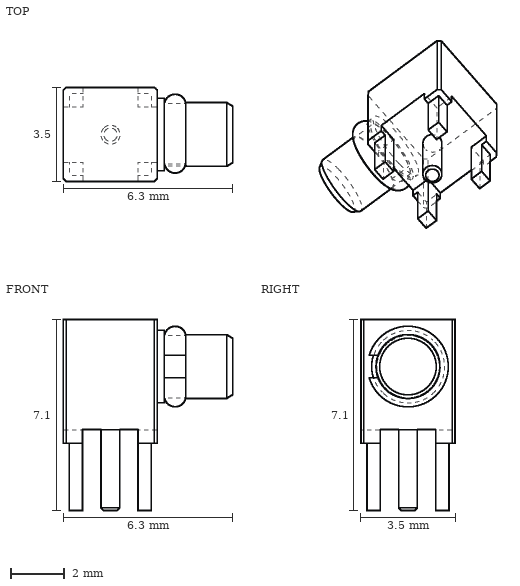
import cadquery as cq
import math

total_height = 7.1
block_width = 3.5
block_bottom = 2.5
block_corner_chamfer = 0.115

relief_width = 2.05
relief_top = 3.0

leg_size = 0.5

pin_diameter = 0.7
pin_tip_diameter = 0.5
pin_tip_length = 0.1

axis_height = 5.345
barrel_end = 6.3 - block_width / 2
collar_diameter = 2.7
collar_length = 0.255
sleeve_diameter = 2.38
groove_diameter = 2.32
tip_diameter = 2.1
tip_length = 0.235

ring_width = 0.8
ring_outer_diameter = 2.995
ring_gap = 0.84

block_face = block_width / 2
ring_start = block_face + collar_length
ring_end = ring_start + ring_width


def make_block():
    block_height = total_height - block_bottom
    block = (
        cq.Workplane("XY", origin=(0, 0, block_bottom))
        .rect(block_width, block_width)
        .extrude(block_height)
        .edges("|Z")
        .chamfer(block_corner_chamfer)
    )
    relief_depth = relief_top - block_bottom
    for size_x, size_y in ((block_width, relief_width), (relief_width, block_width)):
        relief = (
            cq.Workplane("XY", origin=(0, 0, block_bottom))
            .rect(size_x, size_y)
            .extrude(relief_depth)
        )
        block = block.cut(relief)
    return block


def make_legs():
    leg_spacing = relief_width + leg_size
    return (
        cq.Workplane("XY")
        .rect(leg_spacing, leg_spacing, forConstruction=True)
        .vertices()
        .rect(leg_size, leg_size)
        .extrude(block_bottom)
    )


def make_centre_pin():
    pin_radius = pin_diameter / 2
    return (
        cq.Workplane("XZ")
        .moveTo(0, 0)
        .lineTo(pin_tip_diameter / 2, 0)
        .lineTo(pin_radius, pin_tip_length)
        .lineTo(pin_radius, relief_top)
        .lineTo(0, relief_top)
        .close()
        .revolve(360, (0, 0), (0, 1))
    )


def make_barrel():
    """Solid of revolution: collar, ring groove, sleeve and tapered tip."""
    return (
        cq.Workplane("XZ", origin=(0, 0, axis_height))
        .moveTo(block_face, 0)
        .lineTo(block_face, collar_diameter / 2)
        .lineTo(ring_start, collar_diameter / 2)
        .lineTo(ring_start, groove_diameter / 2)
        .lineTo(ring_end, groove_diameter / 2)
        .lineTo(ring_end, sleeve_diameter / 2)
        .lineTo(barrel_end - tip_length, sleeve_diameter / 2)
        .lineTo(barrel_end, tip_diameter / 2)
        .lineTo(barrel_end, 0)
        .close()
        .revolve(360, (0, 0), (1, 0))
    )


def make_housing():
    return make_block().union(make_legs()).union(make_centre_pin()).union(make_barrel())


def make_snap_ring():
    """Ring with a rounded crown, split by a gap on its -Y side."""
    inner_radius = groove_diameter / 2
    outer_radius = ring_outer_diameter / 2
    crown_radius = ring_width / 2
    crown_centre = outer_radius - crown_radius
    half_base = math.sqrt(crown_radius**2 - (inner_radius - crown_centre) ** 2)
    ring_middle = ring_start + crown_radius
    ring = (
        cq.Workplane("XZ", origin=(0, 0, axis_height))
        .moveTo(ring_middle - half_base, inner_radius)
        .threePointArc((ring_middle, outer_radius), (ring_middle + half_base, inner_radius))
        .close()
        .revolve(360, (0, 0), (1, 0))
    )
    gap = cq.Workplane("XY").box(ring_width, outer_radius, ring_gap)
    return ring.cut(gap.translate((ring_middle, -outer_radius, axis_height)))


housing = make_housing()
snap_ring = make_snap_ring()
result = cq.Compound.makeCompound([housing.val(), snap_ring.val()])